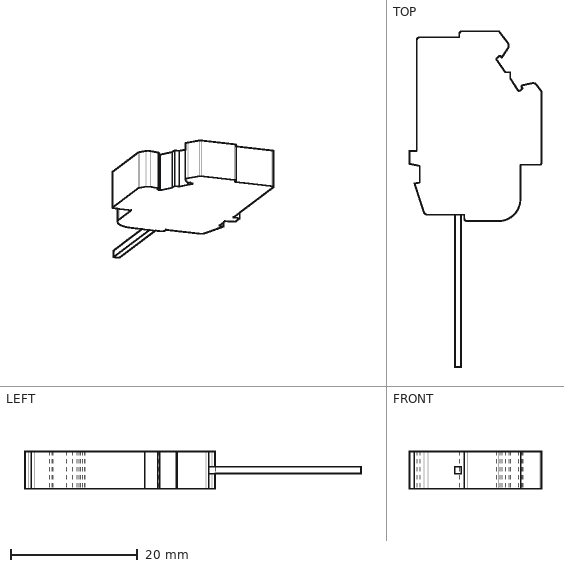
import cadquery as cq

overall_width = 20.8
overall_length = 52.96
thickness = 5.9

body_left = 1.12
shoulder_y = -0.96
tower_left = 7.82
front_y = -29.96
front_left_y = -28.96
front_step_x = 8.6
front_right_x = 17.5
right_ledge_y = -21.1

lug_back_y = -18.87
lug_front_y = -20.93
recess_x = 1.6
recess_back_y = -21.27
recess_front_y = -23.85
latch_tip = (0.77, -24.0)
latch_foot_x = 2.38

small_round = 0.3
corner_round = 0.5
latch_round = 0.7
front_round = 3.5
nose_round = 0.8
catch_round = 0.7

pin_left = 7.15
pin_width = 1.0
pin_height = 1.1
pin_embed = 1.0

tower_corner = (14.08, 0)
nose_tip = (15.82, -2.28)
hook_lip = (14.52, -4.22)
hook_inner = (14.25, -3.87)
notch_root = (13.65, -4.38)
step_inner = (15.1, -6.48)
step_outer = (15.88, -6.48)
step_foot = (15.9, -7.45)
groove_root = (17.15, -9.42)
groove_floor = (17.47, -9.36)
groove_side = (17.8, -9.02)
catch_lip = (17.6, -8.73)
catch_corner = (17.82, -8.52)
catch_top = (19.75, -8.1)
right_corner = (overall_width, -9.5)


def round_edge(body, corner, radius):
    """Fillet the vertical edge that stands on the outline corner."""
    x, y = corner
    reach = 0.05
    picker = cq.selectors.BoxSelector(
        (x - reach, y - reach, -thickness),
        (x + reach, y + reach, thickness),
    )
    return body.edges(picker).fillet(radius)


def make_housing():
    back_left = (body_left, shoulder_y)
    tower_back = (tower_left, 0)
    ledge_corner = (overall_width, right_ledge_y)
    front_right = (front_right_x, front_y)
    front_step = (front_step_x, front_y)
    latch_foot = (latch_foot_x, front_left_y)
    outline = [
        back_left,
        (tower_left, shoulder_y),
        tower_back,
        tower_corner,
        nose_tip,
        hook_lip,
        hook_inner,
        notch_root,
        step_inner,
        step_outer,
        step_foot,
        groove_root,
        groove_floor,
        groove_side,
        catch_lip,
        catch_corner,
        catch_top,
        right_corner,
        ledge_corner,
        (front_right_x, right_ledge_y),
        front_right,
        front_step,
        (front_step_x, front_left_y),
        latch_foot,
        latch_tip,
        (recess_x, recess_front_y),
        (recess_x, recess_back_y),
        (0, lug_front_y),
        (0, lug_back_y),
        (body_left, lug_back_y),
    ]
    body = cq.Workplane("XY").polyline(outline).close().extrude(thickness / 2, both=True)

    rounds = [
        (back_left, corner_round),
        (tower_back, corner_round),
        (tower_corner, small_round),
        (nose_tip, nose_round),
        (catch_top, catch_round),
        (right_corner, small_round),
        (ledge_corner, small_round),
        (front_right, front_round),
        (front_step, corner_round),
        (latch_foot, latch_round),
    ]
    for corner, radius in rounds:
        body = round_edge(body, corner, radius)
    return body


def make_pin():
    """Straight contact pin, rooted inside the housing and running out in -Y."""
    pin_root_y = front_left_y + pin_embed
    pin_length = overall_length + pin_root_y
    pin = cq.Workplane("XY").box(pin_width, pin_length, pin_height)
    return pin.translate((pin_left + pin_width / 2, pin_root_y - pin_length / 2, 0))


result = make_housing().union(make_pin())